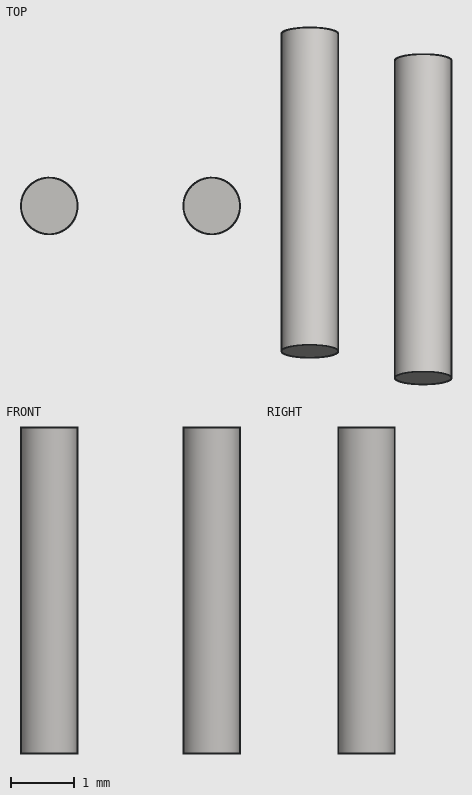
import cadquery as cq

pin_diameter = 0.89
pin_length = 5.1
pin_pitch = 2.54


def make_pin(center_x):
    """Plain upright pin with its bottom face at Z = 0."""
    return cq.Workplane("XY").center(center_x, 0).circle(pin_diameter / 2).extrude(pin_length)


pins = [make_pin(side * pin_pitch / 2) for side in (-1, 1)]

result = cq.Compound.makeCompound([pin.val() for pin in pins])